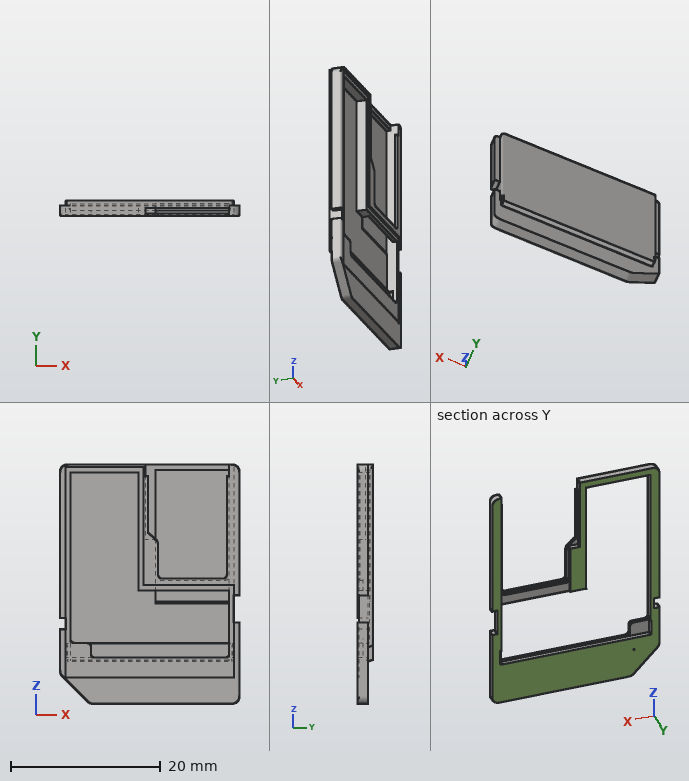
import cadquery as cq
import math

WIDTH = 24.0
HEIGHT = 32.0
THICKNESS = 2.1

PLATE_DEPTH = 1.45
PLATE_EDGE_FILLET = 0.25
PLATE_CORNER_RADIUS = 1.0
KEY_CORNER = 4.0

RAIL_WIDTH = 0.75
BACK_LEFT = RAIL_WIDTH
BACK_RIGHT = WIDTH - RAIL_WIDTH
BACK_EDGE_FILLET = 0.3
BACK_CORNER_RADIUS = 0.55
BACK_BOTTOM = 7.8
TONGUE_BOTTOM = 5.9
TONGUE_INSET = BACK_EDGE_FILLET
END_SLOPE = 0.22

LEFT_NOTCH_BOTTOM = 10.0
LEFT_NOTCH_TOP = 11.45
RIGHT_NOTCH_BOTTOM = 10.88
RIGHT_NOTCH_TOP = 14.5

LABEL_DEPTH = 0.2
LABEL_BOTTOM = 3.55
LABEL_TOP = 31.68
LABEL_INNER_X = 11.15
LABEL_INNER_Z = 15.87

BORDER_X = 0.65
BORDER_Z = 0.75
MAIN_LEFT = BACK_LEFT + BORDER_X
MAIN_RIGHT = BACK_RIGHT - BORDER_X
MAIN_BOTTOM = 6.18
MAIN_TOP = LABEL_TOP - BORDER_Z
MAIN_INNER_X = LABEL_INNER_X - BORDER_X
MAIN_INNER_Z = LABEL_INNER_Z - BORDER_Z
MAIN_CORNER_RADIUS = 0.5
SHELF_RIGHT = 4.13
SHELF_TOP = 8.15
LIP_DEPTH = 0.75
LOW_FLOOR_DEPTH = 1.38
LOW_UNDERCUT = 0.4
MAIN_FLOOR_DEPTH = 1.6
FLOOR_STEP_Z = 8.05
FLOOR_STEP_RISE = 0.1

CARD_LIP_DEPTH = 0.35
CARD_DEPTH = 1.1
CARD_LEFT = 11.42
CARD_RIGHT = MAIN_RIGHT
CARD_BOTTOM = 16.75
CARD_LIP = 0.32
CARD_MOUTH_Z = 30.43
CARD_NARROW_X = 13.12
CARD_SLOPE_TOP = 22.9
CARD_SLOPE_BOTTOM = 21.7
CARD_SLOPE_RADIUS = 1.0
CARD_CORNER_RADIUS = 0.5
CARD_LEDGE_Z = 21.95
CARD_UNDERCUT = 0.22
CARD_SPACE_RADIUS = 0.58

TUNNEL_LEFT = 12.8
TUNNEL_DEPTH = 1.7
TUNNEL_TOP = 31.25
TUNNEL_BOTTOM = 13.45
TUNNEL_SLOPE_Z = 0.22


def block(x0, x1, y0, y1, z0, z1):
    """Box between two opposite corners."""
    return cq.Workplane("XY").box(x1 - x0, y1 - y0, z1 - z0, centered=False).translate((x0, y0, z0))


def front_plane(depth):
    """Plane parallel to the front face at the given depth."""
    return cq.Workplane("XZ", origin=(0, depth, 0))


def front_prism(points, y0, y1):
    """Prism with an outline in X and Z, reaching from depth y0 to y1."""
    return front_plane(y0).polyline(points).close().extrude(y0 - y1)


def side_prism(points, x0, x1):
    """Prism with an outline in Y and Z, reaching from x0 to x1."""
    return cq.Workplane("YZ", origin=(x0, 0, 0)).polyline(points).close().extrude(x1 - x0)


def round_at(solid, x, z, radius):
    """Round the edge along Y that passes through (x, z)."""
    reach = 0.03
    near = cq.selectors.BoxSelector((x - reach, -reach, z - reach), (x + reach, THICKNESS, z + reach))
    return solid.edges("|Y").edges(near).fillet(radius)


def front_plate():
    """Plate with rounded front side edges, one cut corner and every corner rounded."""
    plate = block(0, WIDTH, 0, PLATE_DEPTH, 0, HEIGHT)
    plate = plate.faces("<Y").edges("|Z").fillet(PLATE_EDGE_FILLET)
    outline = front_prism(
        [(KEY_CORNER, 0), (WIDTH, 0), (WIDTH, HEIGHT), (0, HEIGHT), (0, KEY_CORNER)], 0, PLATE_DEPTH
    )
    for x, z in [(KEY_CORNER, 0), (WIDTH, 0), (WIDTH, HEIGHT), (0, HEIGHT), (0, KEY_CORNER)]:
        outline = round_at(outline, x, z, PLATE_CORNER_RADIUS)
    return plate.intersect(outline)


def sloped_slab(x0, x1, bottom):
    """Slab behind the plate whose lower end slopes down toward the plate."""
    profile = [
        (PLATE_DEPTH, bottom - END_SLOPE),
        (THICKNESS, bottom),
        (THICKNESS, HEIGHT),
        (PLATE_DEPTH, HEIGHT),
    ]
    return side_prism(profile, x0, x1)


def raised_back():
    """Raised back with rounded long edges, and a narrower tongue below it."""
    back = sloped_slab(BACK_LEFT, BACK_RIGHT, BACK_BOTTOM)
    back = back.faces(">Y").edges("|Z").fillet(BACK_EDGE_FILLET)
    outline = block(BACK_LEFT, BACK_RIGHT, PLATE_DEPTH, THICKNESS, 0, HEIGHT)
    for x in (BACK_LEFT, BACK_RIGHT):
        outline = round_at(outline, x, HEIGHT, BACK_CORNER_RADIUS)
    tongue = sloped_slab(BACK_LEFT + TONGUE_INSET, BACK_RIGHT - TONGUE_INSET, TONGUE_BOTTOM)
    return back.union(tongue).intersect(outline)


def rail_notches():
    """One notch through each side rail."""
    left = block(0, BACK_LEFT, 0, PLATE_DEPTH, LEFT_NOTCH_BOTTOM, LEFT_NOTCH_TOP)
    right = block(BACK_RIGHT, WIDTH, 0, PLATE_DEPTH, RIGHT_NOTCH_BOTTOM, RIGHT_NOTCH_TOP)
    return left.union(right)


def label_recess():
    """Shallow L-shaped recess in the front face."""
    leg = block(BACK_LEFT, LABEL_INNER_X, 0, LABEL_DEPTH, LABEL_BOTTOM, LABEL_TOP)
    foot = block(BACK_LEFT, BACK_RIGHT, 0, LABEL_DEPTH, LABEL_BOTTOM, LABEL_INNER_Z)
    return leg.union(foot)


def main_pocket():
    """L-shaped pocket with a deep floor, a shallower bottom strip and a shelf at lower left."""
    opening = front_prism(
        [
            (MAIN_LEFT, SHELF_TOP),
            (SHELF_RIGHT, SHELF_TOP),
            (SHELF_RIGHT, MAIN_BOTTOM),
            (MAIN_RIGHT, MAIN_BOTTOM),
            (MAIN_RIGHT, MAIN_INNER_Z),
            (MAIN_INNER_X, MAIN_INNER_Z),
            (MAIN_INNER_X, MAIN_TOP),
            (MAIN_LEFT, MAIN_TOP),
        ],
        0,
        LIP_DEPTH,
    )
    for x, z in [
        (MAIN_LEFT, SHELF_TOP),
        (SHELF_RIGHT, SHELF_TOP),
        (SHELF_RIGHT, MAIN_BOTTOM),
        (MAIN_RIGHT, MAIN_BOTTOM),
    ]:
        opening = round_at(opening, x, z, MAIN_CORNER_RADIUS)

    flare_height = LOW_FLOOR_DEPTH - LIP_DEPTH
    flare_angle = math.degrees(math.atan2(LOW_UNDERCUT, flare_height))
    low_strip = (
        front_plane(LIP_DEPTH)
        .polyline(
            [
                (MAIN_LEFT, MAIN_BOTTOM),
                (MAIN_RIGHT, MAIN_BOTTOM),
                (MAIN_RIGHT, FLOOR_STEP_Z),
                (MAIN_LEFT, FLOOR_STEP_Z),
            ]
        )
        .close()
        .extrude(-flare_height, taper=-flare_angle)
    )
    low_strip = low_strip.intersect(block(0, WIDTH, 0, THICKNESS, 0, FLOOR_STEP_Z))
    foot = side_prism(
        [
            (LIP_DEPTH, FLOOR_STEP_Z),
            (LOW_FLOOR_DEPTH, FLOOR_STEP_Z),
            (MAIN_FLOOR_DEPTH, FLOOR_STEP_Z + FLOOR_STEP_RISE),
            (MAIN_FLOOR_DEPTH, MAIN_INNER_Z),
            (LIP_DEPTH, MAIN_INNER_Z),
        ],
        MAIN_LEFT,
        MAIN_RIGHT,
    )
    leg = block(MAIN_LEFT, MAIN_INNER_X, LIP_DEPTH, MAIN_FLOOR_DEPTH, MAIN_INNER_Z, MAIN_TOP)
    return opening.union(low_strip).union(leg).union(foot)


def card_pocket():
    """Card pocket: a lipped opening in front of a wider space for the card."""
    lip_left = CARD_LEFT + CARD_LIP
    lip_right = CARD_RIGHT - CARD_LIP
    opening = front_prism(
        [
            (CARD_LEFT, HEIGHT),
            (CARD_LEFT, CARD_MOUTH_Z),
            (lip_left, CARD_MOUTH_Z),
            (lip_left, CARD_SLOPE_TOP),
            (CARD_NARROW_X, CARD_SLOPE_BOTTOM),
            (CARD_NARROW_X, CARD_BOTTOM),
            (lip_right, CARD_BOTTOM),
            (lip_right, CARD_MOUTH_Z),
            (CARD_RIGHT, CARD_MOUTH_Z),
            (CARD_RIGHT, HEIGHT),
        ],
        0,
        CARD_LIP_DEPTH,
    )
    opening = round_at(opening, CARD_NARROW_X, CARD_SLOPE_BOTTOM, CARD_SLOPE_RADIUS)
    for x in (CARD_NARROW_X, lip_right):
        opening = round_at(opening, x, CARD_BOTTOM, CARD_CORNER_RADIUS)

    space_bottom = CARD_BOTTOM - CARD_UNDERCUT
    space = block(TUNNEL_LEFT, CARD_RIGHT, CARD_LIP_DEPTH, CARD_DEPTH, space_bottom, HEIGHT)
    for x in (TUNNEL_LEFT, CARD_RIGHT):
        space = round_at(space, x, space_bottom, CARD_SPACE_RADIUS)
    upper_left = block(CARD_LEFT, TUNNEL_LEFT, CARD_LIP_DEPTH, CARD_DEPTH, CARD_LEDGE_Z, HEIGHT)
    return opening.union(space).union(upper_left)


def tunnel():
    """Passage behind the cross wall, with a sloped lower end in the main pocket floor."""
    profile = [
        (LIP_DEPTH, TUNNEL_TOP),
        (LIP_DEPTH, TUNNEL_BOTTOM),
        (MAIN_FLOOR_DEPTH, TUNNEL_BOTTOM),
        (TUNNEL_DEPTH, TUNNEL_BOTTOM + TUNNEL_SLOPE_Z),
        (TUNNEL_DEPTH, TUNNEL_TOP),
    ]
    return side_prism(profile, TUNNEL_LEFT, MAIN_RIGHT)


result = front_plate().union(raised_back())
for cut in (rail_notches(), label_recess(), main_pocket(), card_pocket(), tunnel()):
    result = result.cut(cut)